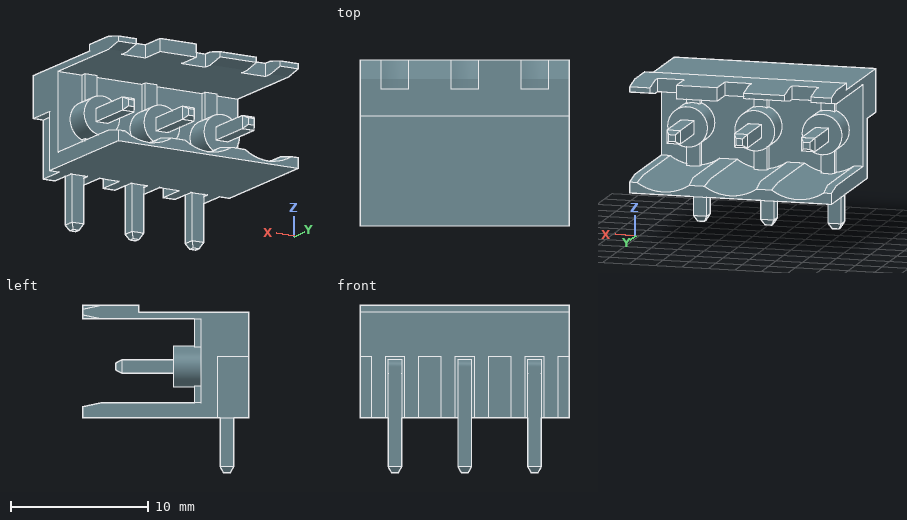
import cadquery as cq
import math


POLE_COUNT = 3
PITCH = 5.08
POLE_XS = [(i - (POLE_COUNT - 1) / 2) * PITCH for i in range(POLE_COUNT)]

WIDTH = POLE_COUNT * PITCH
DEPTH = 12.1
OVERALL_HEIGHT = 12.2
BODY_HEIGHT = 7.7
LIP_HEIGHT = 8.2
LIP_START_Y = 8.0
FLOOR_TOP_Z = 1.12
ROOF_UNDERSIDE_Z = 7.2
BACK_WALL_Y = 3.5

LEAD_IN_LENGTH = 1.4
LEAD_IN_DROP = 0.3
LEAD_IN_Y = DEPTH - LEAD_IN_LENGTH

NOTCH_WIDTH = 2.0
NOTCH_DEPTH = 2.1
SQUARE_TOOTH_GAP = 1

PIN_SIZE = 1.0
PIN_AXIS_Z = 3.74
PIN_LEG_Y = 1.6
PIN_END_Y = 9.7
PIN_END_Z = LIP_HEIGHT - OVERALL_HEIGHT
PIN_BEND_RADIUS = 0.5
PIN_TIP_LENGTH = 0.45
PIN_TIP_SIZE = 0.5

COLLAR_DIAMETER = 3.0
COLLAR_END_Y = 5.5
RIDGE_WIDTH = PIN_SIZE
RIDGE_END_Y = 3.97

TROUGH_RADIUS = 3.22
TROUGH_MOUTH_RADIUS = TROUGH_RADIUS + LEAD_IN_DROP

RECESS_HEIGHT = 4.45
RECESS_DEPTH = 2.3
PIN_RECESS_WIDTH = 1.4
GAP_RECESS_WIDTH = 1.66


def box(x_center, x_size, y_min, y_max, z_min, z_max):
    """Axis-aligned box centred on x_center."""
    return (
        cq.Workplane("XY")
        .box(x_size, y_max - y_min, z_max - z_min, centered=(True, False, False))
        .translate((x_center, y_min, z_min))
    )


def extrude_along_x(points, x_center, x_size):
    """Prism from a (y, z) outline, centred on x_center."""
    return (
        cq.Workplane("YZ")
        .polyline(points)
        .close()
        .extrude(x_size / 2, both=True)
        .translate((x_center, 0, 0))
    )


def make_shell():
    """C-shaped housing with a raised lip on the roof and a tapered floor edge."""
    outline = [
        (0, 0),
        (DEPTH, 0),
        (DEPTH, FLOOR_TOP_Z - LEAD_IN_DROP),
        (LEAD_IN_Y, FLOOR_TOP_Z),
        (BACK_WALL_Y, FLOOR_TOP_Z),
        (BACK_WALL_Y, ROOF_UNDERSIDE_Z),
        (DEPTH, ROOF_UNDERSIDE_Z),
        (DEPTH, LIP_HEIGHT),
        (LIP_START_Y, LIP_HEIGHT),
        (LIP_START_Y, BODY_HEIGHT),
        (0, BODY_HEIGHT),
    ]
    return extrude_along_x(outline, 0, WIDTH)


def cut_lip(body):
    """Notch the lip at each pole and taper every tooth except the square one."""
    top_wedge = [
        (LEAD_IN_Y, LIP_HEIGHT),
        (DEPTH, LIP_HEIGHT),
        (DEPTH, LIP_HEIGHT - LEAD_IN_DROP),
    ]
    bottom_wedge = [
        (LEAD_IN_Y, ROOF_UNDERSIDE_Z),
        (DEPTH, ROOF_UNDERSIDE_Z),
        (DEPTH, ROOF_UNDERSIDE_Z + LEAD_IN_DROP),
    ]
    square_tooth_x = POLE_XS[SQUARE_TOOTH_GAP] + PITCH / 2
    square_tooth = box(
        square_tooth_x, PITCH - NOTCH_WIDTH, LEAD_IN_Y, DEPTH, ROOF_UNDERSIDE_Z, LIP_HEIGHT
    )
    for wedge in (top_wedge, bottom_wedge):
        body = body.cut(extrude_along_x(wedge, 0, WIDTH).cut(square_tooth))
    for x in POLE_XS:
        notch = box(x, NOTCH_WIDTH, DEPTH - NOTCH_DEPTH, DEPTH, ROOF_UNDERSIDE_Z, LIP_HEIGHT)
        body = body.cut(notch)
    return body


def make_trough(x):
    """Round trough cutter that flares over the lead-in, kept clear of the roof."""
    profile = [
        (0, BACK_WALL_Y),
        (TROUGH_RADIUS, BACK_WALL_Y),
        (TROUGH_RADIUS, LEAD_IN_Y),
        (TROUGH_MOUTH_RADIUS, DEPTH),
        (0, DEPTH),
    ]
    trough = (
        cq.Workplane("XY")
        .polyline(profile)
        .close()
        .revolve(360, (0, 0, 0), (0, 1, 0))
        .translate((x, 0, PIN_AXIS_Z))
    )
    return trough.intersect(box(x, PITCH, BACK_WALL_Y, DEPTH, 0, PIN_AXIS_Z))


def cut_front_recesses(body):
    """Open the lower front face at the pins, between poles and at both ends."""
    gap_xs = [(i - POLE_COUNT / 2) * PITCH for i in range(POLE_COUNT + 1)]
    recesses = [(x, PIN_RECESS_WIDTH) for x in POLE_XS]
    recesses += [(x, GAP_RECESS_WIDTH) for x in gap_xs]
    for x, width in recesses:
        body = body.cut(box(x, width, 0, RECESS_DEPTH, 0, RECESS_HEIGHT))
    return body


def make_ridge(x):
    """Upright ridge on the back wall, running from the floor to the roof."""
    return box(x, RIDGE_WIDTH, RECESS_DEPTH, RIDGE_END_Y, 0, BODY_HEIGHT)


def make_collar(x):
    """Round collar where the pin leaves the back wall."""
    return (
        cq.Workplane("XZ", origin=(x, RECESS_DEPTH, PIN_AXIS_Z))
        .circle(COLLAR_DIAMETER / 2)
        .extrude(-(COLLAR_END_Y - RECESS_DEPTH))
    )


def make_pin_tip(plane):
    """Square pyramid frustum standing on the given plane."""
    taper = math.degrees(math.atan2((PIN_SIZE - PIN_TIP_SIZE) / 2, PIN_TIP_LENGTH))
    return cq.Workplane(plane).rect(PIN_SIZE, PIN_SIZE).extrude(PIN_TIP_LENGTH, taper=taper)


def make_pin(x):
    """Square right-angle pin with a rounded outer bend and tapered tips."""
    half = PIN_SIZE / 2
    leg_front_y = PIN_LEG_Y - half
    shank_end_y = PIN_END_Y - PIN_TIP_LENGTH
    leg_end_z = PIN_END_Z + PIN_TIP_LENGTH
    top_z = PIN_AXIS_Z + half
    shank = box(x, PIN_SIZE, leg_front_y, shank_end_y, PIN_AXIS_Z - half, top_z)
    leg = box(x, PIN_SIZE, leg_front_y, PIN_LEG_Y + half, leg_end_z, top_z)
    pin = shank.union(leg).edges("|X").edges("<Y and >Z").fillet(PIN_BEND_RADIUS)
    shank_tip = make_pin_tip(cq.Plane((x, shank_end_y, PIN_AXIS_Z), (1, 0, 0), (0, 1, 0)))
    leg_tip = make_pin_tip(cq.Plane((x, PIN_LEG_Y, leg_end_z), (1, 0, 0), (0, 0, -1)))
    return pin.union(shank_tip).union(leg_tip)


housing = cut_lip(make_shell())
for pole_x in POLE_XS:
    housing = housing.cut(make_trough(pole_x))
housing = cut_front_recesses(housing)

result = housing
for pole_x in POLE_XS:
    for make_feature in (make_ridge, make_collar, make_pin):
        result = result.union(make_feature(pole_x))